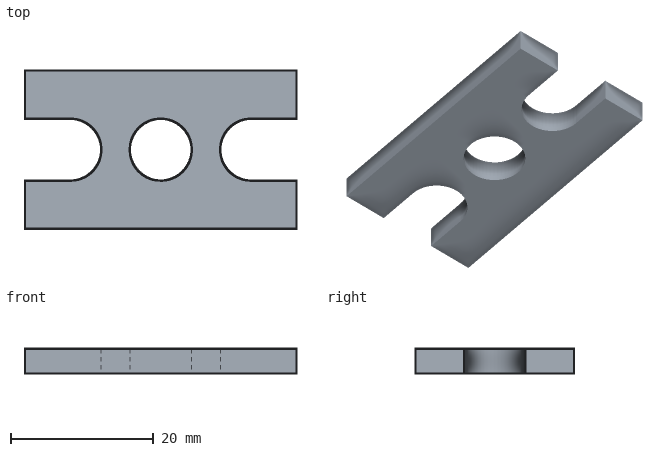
import cadquery as cq

length = 38.1
width = 22.2
thickness = 3.5

hole_diameter = 8.65
slot_depth = 10.7


def end_slot(side):
    """Round-bottomed slot open to the plate end at side * length / 2."""
    return (
        cq.Workplane("XY")
        .center(side * length / 2, 0)
        .slot2D(2 * slot_depth, hole_diameter)
        .extrude(thickness)
    )


plate = cq.Workplane("XY").box(length, width, thickness, centered=(True, True, False))
result = plate.faces(">Z").workplane().hole(hole_diameter)

for side in (-1, 1):
    result = result.cut(end_slot(side))